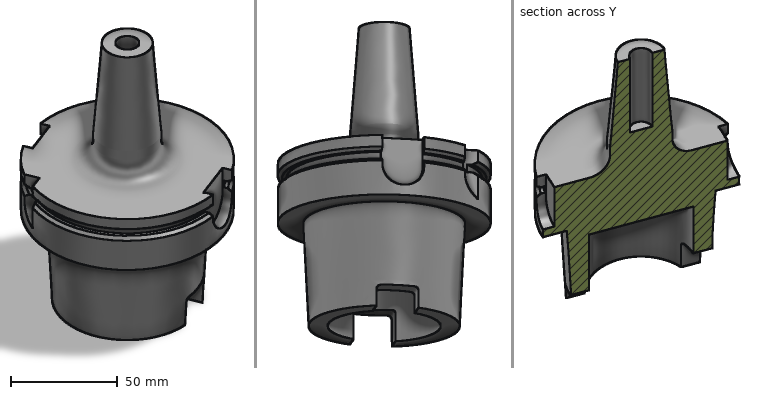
import cadquery as cq
import math


total_height = 145.0
shank_length = 50.0
flange_thickness = 29.0
flange_top = shank_length + flange_thickness

shank_taper = 1 / 10
shank_top_radius = 38.0
shank_mouth_radius = shank_top_radius - shank_length * shank_taper / 2
shank_bore_radius = 26.5
shank_bore_depth = 44.0

flange_radius = 50.0
groove_floor_radius = 46.0
groove_center = 70.0
groove_floor_width = 3.75
groove_bevel_radial = 2.0
groove_bevel_axial = 1.5
groove_bevel_radius = flange_radius - groove_bevel_radial

neck_radius = 16.0
neck_fillet = 10.0
nose_radius = 12.0
nose_half_angle = math.radians(4.5)
nose_start = total_height - (neck_radius - nose_radius) / math.tan(nose_half_angle)
tool_bore_diameter = 11.2
tool_bore_depth = 45.0

slot_bottom = 55.0
key_slot_width = 20.0
key_slot_floor = 44.2
wide_slot_width = 22.0
wide_slot_floor = 44.0
index_notch_width = 20.0
index_notch_wall = 31.3

drive_notch_width = 20.0
shallow_notch_depth = 10.0
deep_notch_depth = 15.4
drive_notch_corner = 2.0


def make_body():
    """Revolve the outer profile: shank, grooved flange, neck and nose."""
    floor_low = groove_center - groove_floor_width / 2
    floor_high = groove_center + groove_floor_width / 2
    fillet_center_radius = neck_radius + neck_fillet
    fillet_center_height = flange_top + neck_fillet
    fillet_offset = neck_fillet * math.sqrt(0.5)
    return (
        cq.Workplane("YZ")
        .lineTo(shank_mouth_radius, 0)
        .lineTo(shank_top_radius, shank_length)
        .lineTo(flange_radius, shank_length)
        .lineTo(flange_radius, floor_low - groove_bevel_axial)
        .lineTo(groove_bevel_radius, floor_low)
        .lineTo(groove_floor_radius, floor_low)
        .lineTo(groove_floor_radius, floor_high)
        .lineTo(groove_bevel_radius, floor_high)
        .lineTo(flange_radius, floor_high + groove_bevel_axial)
        .lineTo(flange_radius, flange_top)
        .lineTo(fillet_center_radius, flange_top)
        .threePointArc(
            (fillet_center_radius - fillet_offset, fillet_center_height - fillet_offset),
            (neck_radius, fillet_center_height),
        )
        .lineTo(neck_radius, nose_start)
        .lineTo(nose_radius, total_height)
        .lineTo(0, total_height)
        .close()
        .revolve(360, (0, 0, 0), (0, 1, 0))
    )


def make_tool_bore():
    """Blind bore for the tool, sunk from the nose."""
    return (
        cq.Workplane("XY", origin=(0, 0, total_height - tool_bore_depth))
        .circle(tool_bore_diameter / 2)
        .extrude(tool_bore_depth)
    )


def make_shank_bore():
    """Cavity that makes the shank hollow and joins its two drive notches."""
    return cq.Workplane("XY").circle(shank_bore_radius).extrude(shank_bore_depth)


def make_rim_slot(side, floor, width, center_y=0):
    """Slot along X, open at the flange top and rim, with a round lower end.

    side is -1 or +1 for the -X or +X rim, floor the distance of the slot floor from the axis.
    """
    radius = width / 2
    arc_height = slot_bottom + radius
    return (
        cq.Workplane("YZ", origin=(side * floor, 0, 0))
        .moveTo(center_y - radius, flange_top)
        .lineTo(center_y - radius, arc_height)
        .threePointArc((center_y, slot_bottom), (center_y + radius, arc_height))
        .lineTo(center_y + radius, flange_top)
        .close()
        .extrude(side * flange_radius)
    )


def make_drive_notch(side, depth):
    """Notch across one wall of the shank mouth, rounded in its upper corners."""
    return (
        cq.Workplane("XY")
        .center(side * flange_radius / 2, 0)
        .rect(flange_radius, drive_notch_width)
        .extrude(depth)
        .edges("|X and >Z")
        .fillet(drive_notch_corner)
    )


result = (
    make_body()
    .cut(make_tool_bore())
    .cut(make_shank_bore())
    .cut(make_rim_slot(-1, key_slot_floor, key_slot_width))
    .cut(make_rim_slot(1, wide_slot_floor, wide_slot_width))
    .cut(
        make_rim_slot(
            -1,
            index_notch_wall,
            index_notch_width,
            center_y=-(index_notch_wall + index_notch_width / 2),
        )
    )
    .cut(make_drive_notch(-1, shallow_notch_depth))
    .cut(make_drive_notch(1, deep_notch_depth))
)